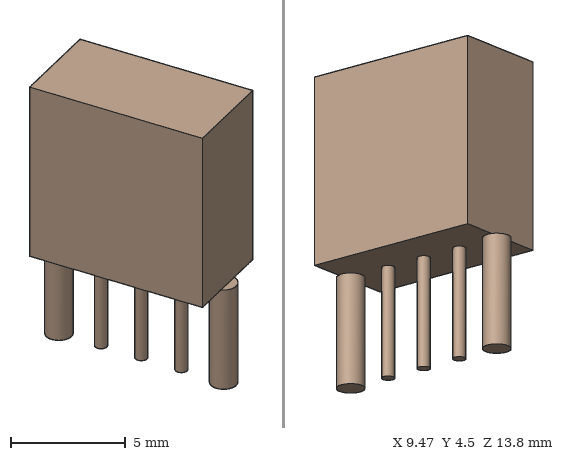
import cadquery as cq

total_height = 13.8
overall_width = 9.47

housing_width = 8.61
housing_depth = 4.5
housing_height = 8.7

pin_length = total_height - housing_height
mounting_pin_diameter = 1.25
mounting_pin_offset = (overall_width - mounting_pin_diameter) / 2
contact_pin_diameter = 0.58
contact_pin_pitch = 2.0


def make_housing():
    """Plain block standing on the XY plane, centred on the Z axis."""
    return cq.Workplane("XY").box(
        housing_width, housing_depth, housing_height, centered=(True, True, False)
    )


def make_pin(x, diameter):
    """Round pin whose top face touches the plane of the housing underside."""
    return cq.Workplane("XY").center(x, 0).circle(diameter / 2).extrude(-pin_length)


housing = make_housing()

mounting_pins = []
for side in (-1, 1):
    mounting_pins.append(make_pin(side * mounting_pin_offset, mounting_pin_diameter).val())

contact_pins = []
for position in (-1, 0, 1):
    contact_pins.append(make_pin(position * contact_pin_pitch, contact_pin_diameter).val())

result = cq.Compound.makeCompound([housing.val(), *mounting_pins, *contact_pins])